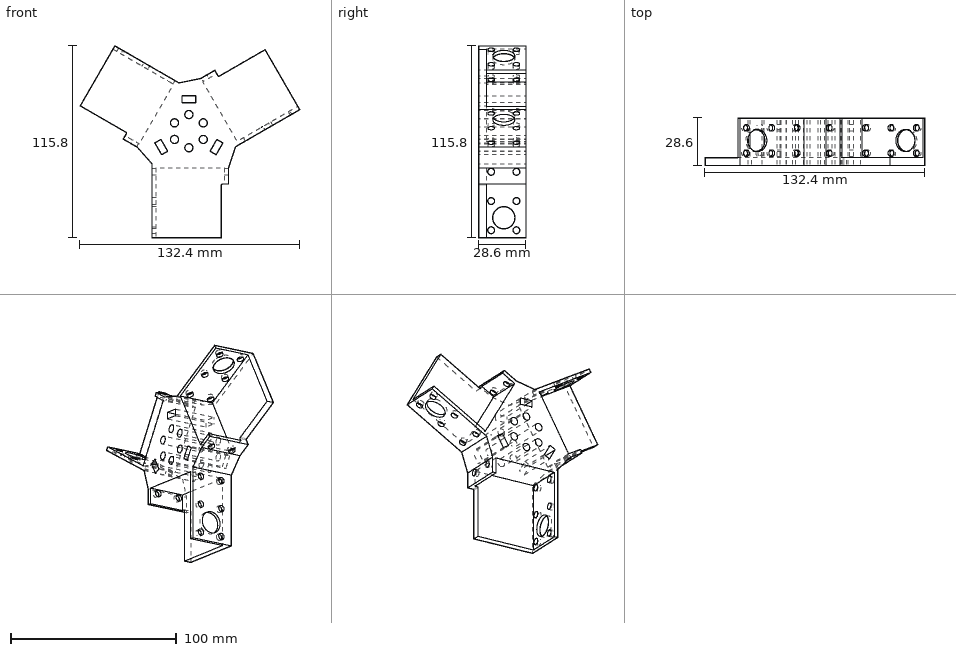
import cadquery as cq
import math

ARM_COUNT = 3
HEIGHT = 28.6
PLATE_THICKNESS = 4.8
WALL_THICKNESS = 2.4
ARM_REACH = 64.4
WALL_FACE = 22.2
PLATE_EDGE = 19.6
TAB_FACE = 24.0
WALL_START = 19.7
POCKET_START = 22.1
TAB_END = 31.9
NOTCH_RADIUS = 0.5

SCREW_DIAMETER = 4.0
SCREW_ROWS = 3
SCREW_ROW_PITCH = 17.6
SCREW_COLUMN_PITCH = 15.2
SCREW_END_MARGIN = 4.6
PORT_DIAMETER = 13.2
PORT_END_MARGIN = 12.2
WALL_HOLES_Y = HEIGHT - 13.5

HUB_HOLE_COUNT = 6
HUB_HOLE_DIAMETER = 4.8
HUB_HOLE_CIRCLE_DIAMETER = 20.0
SLOT_LENGTH = 8.1
SLOT_WIDTH = 4.1
SLOT_RADIUS = 19.2


def around_hub(shape, index):
    """Turn a shape about the hub axis to the position of the given arm."""
    return shape.rotate((0, 0, 0), (0, -1, 0), index * 360 / ARM_COUNT)


def box(x_min, x_max, y_min, y_max, z_min, z_max):
    """Axis-aligned box between the given limits."""
    size = (x_max - x_min, y_max - y_min, z_max - z_min)
    return cq.Workplane("XY").box(*size, centered=False).translate((x_min, y_min, z_min))


def turned_point(x, z, index):
    """Point of the arm profile turned about the hub axis to the given arm."""
    angle = math.radians(index * 360 / ARM_COUNT)
    return (
        x * math.cos(angle) - z * math.sin(angle),
        x * math.sin(angle) + z * math.cos(angle),
    )


def make_body():
    """Full-height hub with its arms and tabs, before the pockets are cut."""
    arm_profile = [
        (-WALL_FACE, -WALL_START),
        (-WALL_FACE, -ARM_REACH),
        (PLATE_EDGE, -ARM_REACH),
        (PLATE_EDGE, -TAB_END),
        (TAB_FACE, -TAB_END),
        (TAB_FACE, -POCKET_START),
    ]
    outline = [turned_point(x, z, index) for index in range(ARM_COUNT) for x, z in arm_profile]
    body = cq.Workplane("XZ").polyline(outline).close().extrude(-HEIGHT)
    for index in range(ARM_COUNT):
        x, z = turned_point(PLATE_EDGE, -TAB_END, index)
        notch_edge = cq.selectors.NearestToPointSelector((x, HEIGHT / 2, z))
        body = body.edges("|Y").edges(notch_edge).fillet(NOTCH_RADIUS)
    return body


def make_pocket():
    """Space above one arm's plate, between the long wall and the tab."""
    wall_inside = -WALL_FACE + WALL_THICKNESS
    tab_inside = TAB_FACE - WALL_THICKNESS
    return box(wall_inside, tab_inside, PLATE_THICKNESS, HEIGHT, -ARM_REACH, -POCKET_START)


def cross_hole(diameter, y, z, x_min, x_max):
    """Cylinder along X between the given limits."""
    start = cq.Vector(x_min, y, z)
    cylinder = cq.Solid.makeCylinder(diameter / 2, x_max - x_min, start, cq.Vector(1, 0, 0))
    return cq.Workplane(obj=cylinder)


def make_wall_holes():
    """Screw holes and port in the long wall, with the innermost row repeated in the tab."""
    port_z = -ARM_REACH + PORT_END_MARGIN
    holes = cross_hole(PORT_DIAMETER, WALL_HOLES_Y, port_z, -WALL_FACE, 0)
    for row in range(SCREW_ROWS):
        z = -ARM_REACH + SCREW_END_MARGIN + row * SCREW_ROW_PITCH
        innermost = row == SCREW_ROWS - 1
        x_max = TAB_FACE if innermost else 0
        for side in (-1, 1):
            y = WALL_HOLES_Y + side * SCREW_COLUMN_PITCH / 2
            holes = holes.union(cross_hole(SCREW_DIAMETER, y, z, -WALL_FACE, x_max))
    return holes


def make_slot():
    """Rectangular slot through the hub, opposite one arm."""
    return box(
        -SLOT_LENGTH / 2, SLOT_LENGTH / 2,
        0, HEIGHT,
        SLOT_RADIUS - SLOT_WIDTH / 2, SLOT_RADIUS + SLOT_WIDTH / 2,
    )


def make_hub_holes():
    """Ring of round holes through the hub, the first one straight up."""
    return (
        cq.Workplane("XZ")
        .polarArray(HUB_HOLE_CIRCLE_DIAMETER / 2, 90, 360, HUB_HOLE_COUNT)
        .circle(HUB_HOLE_DIAMETER / 2)
        .extrude(-HEIGHT)
    )


result = make_body().cut(make_hub_holes())
for arm in range(ARM_COUNT):
    for cutter in (make_pocket(), make_wall_holes(), make_slot()):
        result = result.cut(around_hub(cutter, arm))